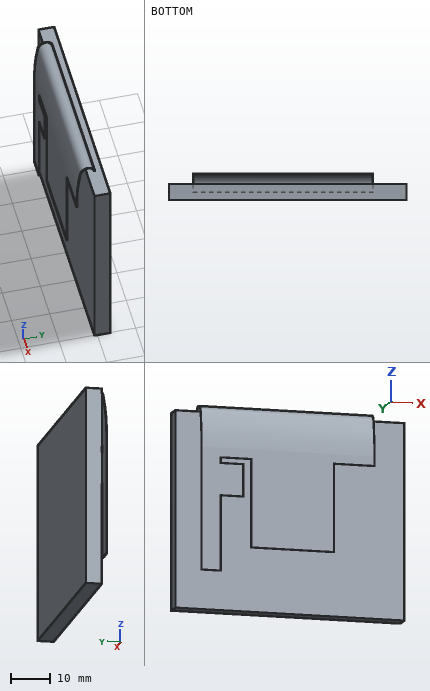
import cadquery as cq
import math

slab_width = 60.3
slab_thickness = 4.15
slab_height = 51.2

total_depth = 6.75
total_height = 52.7
sheet_thickness = 0.2
half_thickness = sheet_thickness / 2
sheet_left = -24.0
sheet_right = 21.6

shoulder_z = 39.1
strip_right = -18.95
strip_bottom = 9.7
tab_right = -13.0
tab_top = 37.6
tab_bottom = 29.25
panel_left = -10.9
panel_right = 10.9
panel_bottom = 16.15

crest_y = -3.75
back_radius = 1.75
front_radius = 2.05
front_turn = math.radians(79)
hang_y = -total_depth + half_thickness
crest_z = total_height - half_thickness
wide_radius = (crest_y - hang_y - front_radius * math.sin(front_turn)) / (1 - math.sin(front_turn))

back_center_z = crest_z - back_radius
front_center_z = crest_z - front_radius
wide_center_y = hang_y + wide_radius
wide_center_z = front_center_z + (front_radius - wide_radius) * math.cos(front_turn)


def make_slab():
    slab = cq.Workplane("XY").box(slab_width, slab_thickness, slab_height, centered=(True, False, False))
    return slab.translate((0, -slab_thickness, 0))


def arc_point(center_y, center_z, radius, turn):
    """Point on an arc, turned from straight above its centre towards the front."""
    return (center_y - radius * math.sin(turn), center_z + radius * math.cos(turn))


def bend_face(offset):
    """Stations of one face of the bend, from the foot to the flat part; offset is positive outwards."""
    back = back_radius + offset
    front = front_radius + offset
    wide = wide_radius + offset
    foot_turn = -math.acos((slab_height - back_center_z) / back)
    wide_middle_turn = (front_turn + math.pi / 2) / 2
    return [
        arc_point(crest_y, back_center_z, back, foot_turn),
        arc_point(crest_y, back_center_z, back, foot_turn / 2),
        arc_point(crest_y, back_center_z, back, 0),
        arc_point(crest_y, front_center_z, front, front_turn / 2),
        arc_point(crest_y, front_center_z, front, front_turn),
        arc_point(wide_center_y, wide_center_z, wide, wide_middle_turn),
        arc_point(wide_center_y, wide_center_z, wide, math.pi / 2),
    ]


def draw_arcs(sketch, stations):
    """Add arcs through the stations; every second station is the middle of an arc."""
    for middle, end in zip(stations[1::2], stations[2::2]):
        sketch = sketch.threePointArc(middle, end)
    return sketch


def make_bent_sheet():
    """Full-width bent sheet, before its hanging part is cut to shape."""
    outer = bend_face(half_thickness)
    inner = bend_face(-half_thickness)
    inner.reverse()
    profile = cq.Workplane("YZ", origin=(sheet_left, 0, 0)).moveTo(*outer[0])
    profile = draw_arcs(profile, outer)
    profile = profile.lineTo(-total_depth, strip_bottom).lineTo(-total_depth + sheet_thickness, strip_bottom)
    profile = draw_arcs(profile.lineTo(*inner[0]), inner)
    return profile.close().extrude(sheet_right - sheet_left)


def make_cut_pattern():
    """Block whose front outline is the strip with its tab, the panel and the band above them."""
    outline = [
        (sheet_left, total_height),
        (sheet_left, strip_bottom),
        (strip_right, strip_bottom),
        (strip_right, tab_bottom),
        (tab_right, tab_bottom),
        (tab_right, tab_top),
        (strip_right, tab_top),
        (strip_right, shoulder_z),
        (panel_left, shoulder_z),
        (panel_left, panel_bottom),
        (panel_right, panel_bottom),
        (panel_right, shoulder_z),
        (sheet_right, shoulder_z),
        (sheet_right, total_height),
    ]
    return cq.Workplane("XZ").polyline(outline).close().extrude(total_depth)


slab = make_slab()
sheet = make_bent_sheet().intersect(make_cut_pattern()).solids()

result = cq.Compound.makeCompound([slab.val(), sheet.val()])